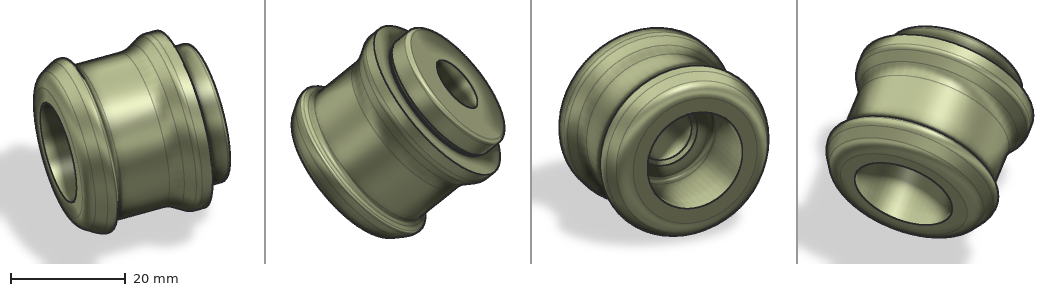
import cadquery as cq
import math

total_length = 27.5

bead_radius = 15.8
bead_crest = 4.86
bead_front_arc = 3.0
nose_arc = 3.0
bead_back_arc = 0.5
bead_foot_arc = 1.0
bead_back_angle = math.radians(70)

waist_radius = 14.0
flange_radius = 16.0
flange_back = 22.7
flange_width = 2.0
flange_edge_arc = 2.0
flange_foot_arc = 5.0
cone_angle = math.radians(30)

spigot_radius = 12.5
spigot_edge_arc = 0.75
undercut_radius = 12.1
undercut_width = 0.35
undercut_cone_end = 23.7

bore_radius = 9.0
bore_depth = 13.0
bore_floor_arc = 1.0
hole_radius = 10.3 / 2
hole_chamfer_radius = 6.0
hole_chamfer_angle = math.radians(60)


def arc_point(center, radius, angle):
    """Point (r, y) on an arc; the angle is measured from +r towards +y."""
    r, y = center
    return (r + radius * math.cos(angle), y + radius * math.sin(angle))


def add_arc(profile, center, radius, start, end):
    """Continue the profile, already at the start of an arc, along that arc."""
    middle = arc_point(center, radius, (start + end) / 2)
    return profile.threePointArc(middle, arc_point(center, radius, end))


def add_line_and_arc(profile, center, radius, start, end):
    """Draw a line to the start of an arc, then the arc itself."""
    profile = profile.lineTo(*arc_point(center, radius, start))
    return add_arc(profile, center, radius, start, end)


def add_bead(profile):
    """Rounded nose, front cone, crest and back cone down to the waist."""
    front_center = (bead_radius - bead_front_arc, bead_crest)
    crest_start = arc_point(front_center, bead_front_arc, -cone_angle)
    nose_y = nose_arc * (1 - math.sin(cone_angle))
    nose_end_radius = crest_start[0] - (crest_start[1] - nose_y) * math.tan(cone_angle)
    nose_center = (nose_end_radius - nose_arc * math.cos(cone_angle), nose_arc)
    profile = add_line_and_arc(profile, nose_center, nose_arc, -math.pi / 2, -cone_angle)
    profile = add_line_and_arc(profile, front_center, bead_front_arc, -cone_angle, 0)

    back_center = (bead_radius - bead_back_arc, bead_crest)
    profile = add_arc(profile, back_center, bead_back_arc, 0, bead_back_angle)
    arc_sum = bead_back_arc + bead_foot_arc
    cone_drop = bead_radius - waist_radius - arc_sum * (1 - math.cos(bead_back_angle))
    cone_length = cone_drop / math.tan(bead_back_angle)
    foot_y = bead_crest + arc_sum * math.sin(bead_back_angle) + cone_length
    foot_center = (waist_radius + bead_foot_arc, foot_y)
    return add_line_and_arc(profile, foot_center, bead_foot_arc, math.pi + bead_back_angle, math.pi)


def add_flange(profile):
    """Filleted cone from the waist up to the flange rim and its back face."""
    rim_front = flange_back - flange_width
    arc_sum = flange_edge_arc + flange_foot_arc
    cone_rise = flange_radius - waist_radius - arc_sum * (1 - math.cos(cone_angle))
    cone_length = cone_rise / math.tan(cone_angle)
    foot_y = rim_front - arc_sum * math.sin(cone_angle) - cone_length
    foot_center = (waist_radius + flange_foot_arc, foot_y)
    profile = add_line_and_arc(profile, foot_center, flange_foot_arc, math.pi, math.pi - cone_angle)
    edge_center = (flange_radius - flange_edge_arc, rim_front)
    profile = add_line_and_arc(profile, edge_center, flange_edge_arc, -cone_angle, 0)
    return profile.lineTo(flange_radius, flange_back)


def add_spigot(profile):
    """Undercut, its cone and the spigot with a rounded rear edge."""
    profile = (
        profile.lineTo(undercut_radius, flange_back)
        .lineTo(undercut_radius, flange_back + undercut_width)
        .lineTo(spigot_radius, undercut_cone_end)
    )
    edge_center = (spigot_radius - spigot_edge_arc, total_length - spigot_edge_arc)
    return add_line_and_arc(profile, edge_center, spigot_edge_arc, 0, math.pi / 2)


def add_bore(profile):
    """Through hole with a chamfer, then the wide bore with a rounded floor."""
    chamfer_depth = (hole_chamfer_radius - hole_radius) / math.tan(hole_chamfer_angle)
    profile = (
        profile.lineTo(hole_radius, total_length)
        .lineTo(hole_radius, bore_depth + chamfer_depth)
        .lineTo(hole_chamfer_radius, bore_depth)
    )
    floor_center = (bore_radius - bore_floor_arc, bore_depth - bore_floor_arc)
    profile = add_line_and_arc(profile, floor_center, bore_floor_arc, math.pi / 2, 0)
    return profile.lineTo(bore_radius, 0)


profile = cq.Workplane("XY").moveTo(bore_radius, 0)
for add_section in (add_bead, add_flange, add_spigot, add_bore):
    profile = add_section(profile)
result = profile.close().revolve(360, (0, 0, 0), (0, 1, 0))